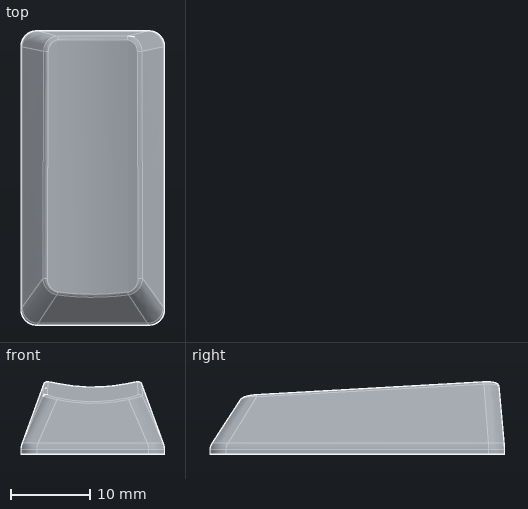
import cadquery as cq
import math

WIDTH = 18.15
LENGTH = 37.2

SHOULDER_HEIGHT = 1.0
BLEND_REACH = 0.4

SIDE_SLOPE = math.tan(math.radians(22.1))
FRONT_SLOPE = math.tan(math.radians(33.0))
BACK_SLOPE = math.tan(math.radians(5.2))

TOP_TILT = 3.3
TOP_HEIGHT = 9.3

DISH_RADIUS = 21.95
DISH_BOTTOM_HEIGHT = 7.5

BASE_CORNER_RADIUS = 2.0
TOP_CORNER_RADIUS = 1.85
RIM_RADIUS = 0.5


def rounded_rectangle(width, length, radius):
    return cq.Sketch().rect(width, length).vertices().fillet(radius)


def base_outline(height, run):
    """Level outline with each wall moved in by its slope over a rise of `run`."""
    front = run * FRONT_SLOPE
    back = run * BACK_SLOPE
    width = WIDTH - 2 * run * SIDE_SLOPE
    outline = rounded_rectangle(width, LENGTH - front - back, BASE_CORNER_RADIUS)
    return outline.moved(cq.Location(cq.Vector(0, (front - back) / 2, height)))


def top_outline():
    """Outline with parallel sides in the tilted top plane, where the walls end."""
    rise = TOP_HEIGHT - SHOULDER_HEIGHT
    fall = math.tan(math.radians(TOP_TILT))
    front_y = (-LENGTH / 2 + rise * FRONT_SLOPE) / (1 - fall * FRONT_SLOPE)
    back_y = (LENGTH / 2 - rise * BACK_SLOPE) / (1 + fall * BACK_SLOPE)
    middle_y = (front_y + back_y) / 2
    tilted_length = (back_y - front_y) / math.cos(math.radians(TOP_TILT))
    outline = rounded_rectangle(WIDTH - 2 * rise * SIDE_SLOPE, tilted_length, TOP_CORNER_RADIUS)
    center = cq.Vector(0, middle_y, TOP_HEIGHT + middle_y * fall)
    return outline.moved(cq.Location(center, cq.Vector(1, 0, 0), TOP_TILT))


def blank_body():
    """Vertical skirt, smooth blend and leaning walls up to the flat, tilted top plane."""
    blend_start = SHOULDER_HEIGHT - BLEND_REACH
    blend_end = SHOULDER_HEIGHT + BLEND_REACH
    skirt = cq.Workplane("XY").placeSketch(base_outline(0, 0)).extrude(blend_start)
    blend = (
        cq.Workplane("XY")
        .placeSketch(
            base_outline(blend_start, 0),
            base_outline(SHOULDER_HEIGHT, BLEND_REACH / 4),
            base_outline(blend_end, BLEND_REACH),
        )
        .loft()
    )
    walls = (
        cq.Workplane("XY")
        .placeSketch(base_outline(blend_end, BLEND_REACH), top_outline())
        .loft(ruled=True)
    )
    return skirt.union(blend).union(walls)


def dish_cutter():
    """Long tilted cylinder that hollows the top."""
    axis_height = DISH_BOTTOM_HEIGHT + DISH_RADIUS / math.cos(math.radians(TOP_TILT))
    return (
        cq.Workplane("XZ")
        .circle(DISH_RADIUS)
        .extrude(LENGTH, both=True)
        .rotate((0, 0, 0), (1, 0, 0), TOP_TILT)
        .translate((0, 0, axis_height))
    )


dished = blank_body().cut(dish_cutter())
dish_face = dished.faces(cq.selectors.NearestToPointSelector((0, 0, DISH_BOTTOM_HEIGHT)))
result = dish_face.edges().fillet(RIM_RADIUS)